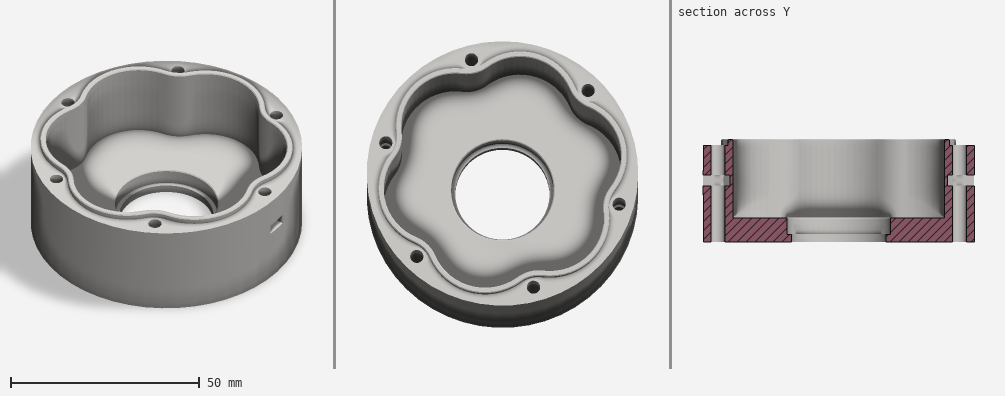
import cadquery as cq
import math

body_diameter = 72.0
body_radius = body_diameter / 2
body_height = 25.7
total_height = 27.3
lip_height = total_height - body_height
floor_thickness = 6.5

lobe_count = 6
lobe_pitch = 360 / lobe_count
lobe_center_radius = 17.7
lip_outer_lobe_radius = 15.85
lip_thickness = 1.5
cavity_lobe_radius = lip_outer_lobe_radius - lip_thickness
lip_valley_radius = 29.45
lip_chamfer = 0.25

bore_diameter = 25.0
seat_diameter = 27.2
seat_ledge_height = 2.2
seat_chamfer = 0.25

bolt_circle_radius = 32.05
bolt_hole_diameter = 3.5

nut_width = 5.5
nut_slot_height = 2.8
nut_slot_bottom = 15.0
nut_slot_angles = (0, 180)


def polar(radius, angle):
    """Point at a radius and an angle in degrees about the part axis."""
    return (radius * math.cos(math.radians(angle)), radius * math.sin(math.radians(angle)))


def lobed_prism(lobe_radius, bottom, height):
    """Prism of six round lobes blended by tangent arcs; all such prisms are parallel offsets."""
    inset = lip_outer_lobe_radius - lobe_radius
    valley_radius = lip_valley_radius - inset
    center_along, center_across = polar(lobe_center_radius, lobe_pitch / 2)
    gap = valley_radius - center_along
    blend_radius = (gap**2 + center_across**2 - lobe_radius**2) / (2 * (lobe_radius - gap))
    blend_center = valley_radius + blend_radius
    share = lobe_radius / (lobe_radius + blend_radius)
    tangent_along = center_along + share * (blend_center - center_along)
    tangent_across = center_across * (1 - share)
    tangent_radius = math.hypot(tangent_along, tangent_across)
    tangent_angle = math.degrees(math.atan2(tangent_across, tangent_along))

    outline = cq.Workplane("XY").workplane(offset=bottom).moveTo(*polar(tangent_radius, -tangent_angle))
    for index in range(lobe_count):
        valley = index * lobe_pitch
        outline = outline.threePointArc(
            polar(valley_radius, valley),
            polar(tangent_radius, valley + tangent_angle),
        ).threePointArc(
            polar(lobe_center_radius + lobe_radius, valley + lobe_pitch / 2),
            polar(tangent_radius, valley + lobe_pitch - tangent_angle),
        )
    return outline.close().extrude(height)


def lip_ring():
    """Raised lip around the cavity, chamfered along both top edges."""
    outer = lobed_prism(lip_outer_lobe_radius, body_height, lip_height)
    inner = lobed_prism(cavity_lobe_radius, body_height, lip_height)
    return outer.cut(inner).faces(">Z").chamfer(lip_chamfer)


def stepped_bore():
    """Through bore with a wider, chamfered bearing seat open to the cavity."""
    seat_radius = seat_diameter / 2
    return (
        cq.Workplane("XZ")
        .lineTo(bore_diameter / 2, 0)
        .lineTo(bore_diameter / 2, seat_ledge_height)
        .lineTo(seat_radius, seat_ledge_height)
        .lineTo(seat_radius, floor_thickness - seat_chamfer)
        .lineTo(seat_radius + seat_chamfer, floor_thickness)
        .lineTo(0, floor_thickness)
        .close()
        .revolve(360, (0, 0, 0), (0, 1, 0))
    )


def bolt_holes():
    """Through holes on the bolt circle."""
    return (
        cq.Workplane("XY")
        .polarArray(bolt_circle_radius, 0, 360, lobe_count)
        .circle(bolt_hole_diameter / 2)
        .extrude(body_height)
    )


def nut_slot(angle):
    """Radial slot, open at the outside, whose inner end is half a hexagon around the bolt hole."""
    half_width = nut_width / 2
    shoulder = bolt_circle_radius - half_width * math.tan(math.radians(30))
    apex = bolt_circle_radius - half_width / math.cos(math.radians(30))
    return (
        cq.Workplane("XY", origin=(0, 0, nut_slot_bottom))
        .moveTo(apex, 0)
        .lineTo(shoulder, half_width)
        .lineTo(body_radius, half_width)
        .lineTo(body_radius, -half_width)
        .lineTo(shoulder, -half_width)
        .close()
        .extrude(nut_slot_height)
        .rotate((0, 0, 0), (0, 0, 1), angle)
    )


body = cq.Workplane("XY").circle(body_radius).extrude(body_height)
cavity = lobed_prism(cavity_lobe_radius, floor_thickness, body_height - floor_thickness)
result = body.cut(cavity).union(lip_ring())
result = result.cut(stepped_bore()).cut(bolt_holes())
for slot_angle in nut_slot_angles:
    result = result.cut(nut_slot(slot_angle))